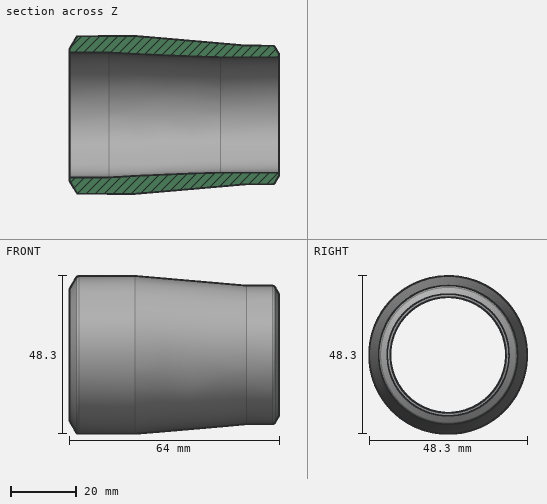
import cadquery as cq
import math

total_length = 64.0

large_outer_diameter = 48.3
large_bore_diameter = 38.1
large_outer_length = 20.0
large_bore_length = 12.0

small_outer_diameter = 42.4
small_bore_diameter = 35.2
small_outer_length = 10.0
small_bore_length = 18.0

bevel_angle = math.radians(30.0)
land_width = 1.0
bevel_fillet_radius = 1.0
mouth_fillet_radius = 0.25

match_tolerance = 0.001

large_outer_radius = large_outer_diameter / 2
large_bore_radius = large_bore_diameter / 2
small_outer_radius = small_outer_diameter / 2
small_bore_radius = small_bore_diameter / 2


def bevel_depth(outer_radius, bore_radius):
    """Axial length of the bevel, before its edge is blended."""
    return (outer_radius - bore_radius - land_width) * math.tan(bevel_angle)


large_bevel_depth = bevel_depth(large_outer_radius, large_bore_radius)
small_bevel_depth = bevel_depth(small_outer_radius, small_bore_radius)


def reducer_blank():
    """Concentric reducer with sharp bevels, revolved about the X axis."""
    outer_points = [
        (0, large_bore_radius + land_width),
        (large_bevel_depth, large_outer_radius),
        (large_outer_length, large_outer_radius),
        (total_length - small_outer_length, small_outer_radius),
        (total_length - small_bevel_depth, small_outer_radius),
        (total_length, small_bore_radius + land_width),
    ]
    bore_points = [
        (total_length, small_bore_radius),
        (total_length - small_bore_length, small_bore_radius),
        (large_bore_length, large_bore_radius),
        (0, large_bore_radius),
    ]
    half_section = cq.Workplane("XZ").polyline(outer_points + bore_points).close()
    return half_section.revolve(360, (0, 0, 0), (1, 0, 0))


def fillet_circle(body, x, circle_radius, fillet_radius):
    """Fillet the circular edge about the X axis at the given station and radius."""
    circles = body.edges("%CIRCLE").filter(
        lambda edge: math.isclose(edge.Center().x, x, abs_tol=match_tolerance)
        and math.isclose(edge.radius(), circle_radius, abs_tol=match_tolerance)
    )
    return circles.fillet(fillet_radius)


result = reducer_blank()
result = fillet_circle(result, large_bevel_depth, large_outer_radius, bevel_fillet_radius)
result = fillet_circle(result, total_length - small_bevel_depth, small_outer_radius, bevel_fillet_radius)
result = fillet_circle(result, 0, large_bore_radius, mouth_fillet_radius)
result = fillet_circle(result, total_length, small_bore_radius, mouth_fillet_radius)